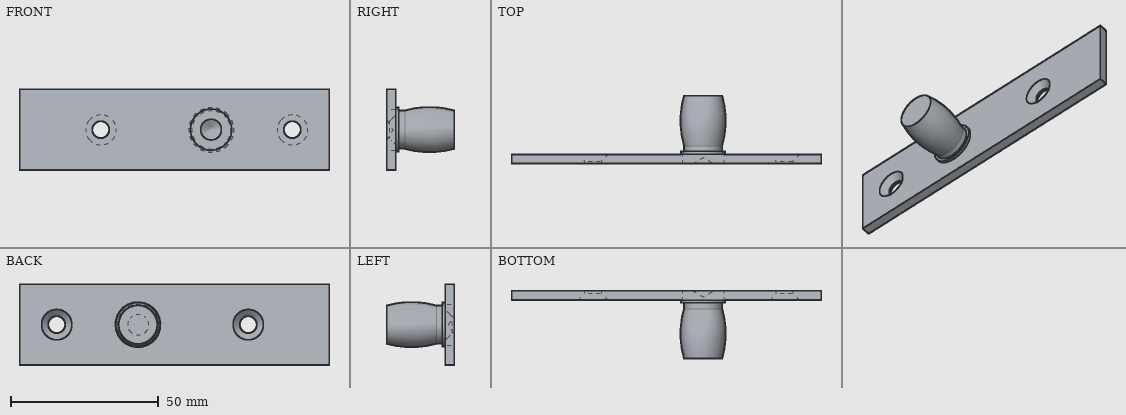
import cadquery as cq

plate_length = 105.0
plate_height = 27.5
plate_thickness = 3.2
screw_hole_diameter = 5.7
countersink_depth = 2.3
countersink_diameter = screw_hole_diameter + 2 * countersink_depth
screw_hole_positions = (-25.0, 39.9)

pin_x = 12.4
spigot_diameter = 14.0
flange_diameter = 15.0
flange_thickness = 0.9
neck_diameter = 13.0
neck_length = 2.0
barrel_diameter = 15.4
overall_depth = 23.0
center_hole_diameter = 7.0
center_hole_depth = 2.1

flange_end = plate_thickness + flange_thickness
neck_end = flange_end + neck_length
barrel_middle = (neck_end + overall_depth) / 2


def through_holes(positions, diameter):
    """Cylinders along Y that pass through the plate on its centre line."""
    return (
        cq.Workplane("XZ")
        .pushPoints([(x, 0) for x in positions])
        .circle(diameter / 2)
        .extrude(-plate_thickness)
    )


def countersink(x):
    """Cone that opens a screw hole on the rear face, the pin side."""
    return cq.Workplane(
        cq.Solid.makeCone(
            countersink_diameter / 2,
            screw_hole_diameter / 2,
            countersink_depth,
            pnt=cq.Vector(x, plate_thickness, 0),
            dir=cq.Vector(0, -1, 0),
        )
    )


def make_plate():
    """Flat plate with two countersunk screw holes and a seat for the pin."""
    plate = cq.Workplane("XY").box(
        plate_length, plate_thickness, plate_height, centered=(True, False, True)
    )
    plate = plate.cut(through_holes(screw_hole_positions, screw_hole_diameter))
    for x in screw_hole_positions:
        plate = plate.cut(countersink(x))
    return plate.cut(through_holes([pin_x], spigot_diameter))


def make_pin():
    """Revolved pin: spigot with conical centre hole, flange, neck and barrel."""
    profile = (
        cq.Workplane("XY")
        .moveTo(0, center_hole_depth)
        .lineTo(center_hole_diameter / 2, 0)
        .lineTo(spigot_diameter / 2, 0)
        .lineTo(spigot_diameter / 2, plate_thickness)
        .lineTo(flange_diameter / 2, plate_thickness)
        .lineTo(flange_diameter / 2, flange_end)
        .lineTo(neck_diameter / 2, flange_end)
        .lineTo(neck_diameter / 2, neck_end)
        .threePointArc((barrel_diameter / 2, barrel_middle), (neck_diameter / 2, overall_depth))
        .lineTo(0, overall_depth)
        .close()
    )
    pin = profile.revolve(360, (0, 0, 0), (0, 1, 0))
    return pin.translate((pin_x, 0, 0))


plate = make_plate()
pin = make_pin()
result = cq.Compound.makeCompound([plate.val(), pin.val()])